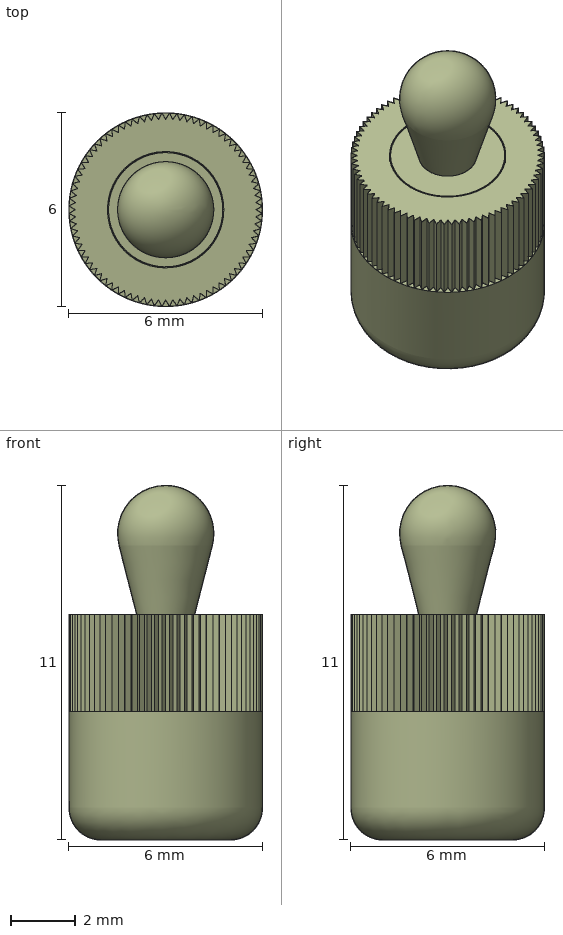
import cadquery as cq
import math

total_height = 11.0
housing_height = 7.0
housing_radius = 3.0
bottom_fillet = 1.0

knurl_height = 3.0
groove_count = 80
groove_depth = 0.2

bore_radius = 1.8
bore_depth = knurl_height
seal_gap = 0.03

ball_radius = 1.5
neck_radius = 0.9

knurl_base = housing_height - knurl_height
bore_floor = housing_height - bore_depth
seal_radius = bore_radius - seal_gap
ball_center = total_height - ball_radius


def polar_point(radius, angle):
    """Point at a radius and an angle in radians around the Z axis."""
    return (radius * math.cos(angle), radius * math.sin(angle))


def knurl_outline():
    """Alternating groove roots and sharp crests around the housing."""
    root_radius = housing_radius - groove_depth
    pitch = 2 * math.pi / groove_count
    points = []
    for index in range(groove_count):
        points.append(polar_point(root_radius, index * pitch))
        points.append(polar_point(housing_radius, (index + 0.5) * pitch))
    return points


def make_housing():
    """Cup with a rounded bottom edge, a knurled upper half and a blind bore."""
    base = cq.Workplane("XY").circle(housing_radius).extrude(knurl_base)
    base = base.faces("<Z").edges().fillet(bottom_fillet)
    knurl = (
        cq.Workplane("XY")
        .workplane(offset=knurl_base)
        .polyline(knurl_outline())
        .close()
        .extrude(knurl_height)
    )
    bore = cq.Workplane("XY").workplane(offset=bore_floor).circle(bore_radius).extrude(bore_depth)
    return base.union(knurl).cut(bore)


def make_seal():
    """Ring around the pin, flush with the top of the housing and clear of the bore wall."""
    return (
        cq.Workplane("XY")
        .workplane(offset=bore_floor)
        .circle(seal_radius)
        .circle(neck_radius)
        .extrude(bore_depth)
    )


def make_pin():
    """Straight stem inside the seal, then a cone that runs tangentially into a ball."""
    neck_drop = ball_center - housing_height
    neck_distance = math.hypot(neck_radius, neck_drop)
    cone_angle = math.asin(ball_radius / neck_distance) - math.atan2(neck_radius, neck_drop)
    tangent_radius = ball_radius * math.cos(cone_angle)
    tangent_height = ball_center - ball_radius * math.sin(cone_angle)
    profile = (
        cq.Workplane("XZ")
        .moveTo(0, bore_floor)
        .lineTo(neck_radius, bore_floor)
        .lineTo(neck_radius, housing_height)
        .lineTo(tangent_radius, tangent_height)
        .threePointArc((ball_radius, ball_center), (0, total_height))
        .close()
    )
    return profile.revolve(360, (0, 0, 0), (0, 1, 0))


housing = make_housing()
seal = make_seal()
pin = make_pin()

result = cq.Compound.makeCompound([housing.val(), seal.val(), pin.val()])